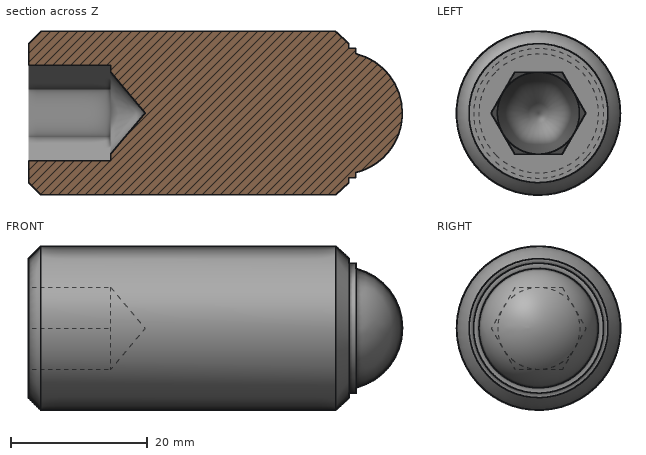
import cadquery as cq
import math

body_diameter = 24.0
body_length = 46.9
end_face_diameter = 20.32
socket_chamfer_length = (body_diameter - end_face_diameter) / 2
ball_chamfer_length = 2.0

collar_diameter = 19.0
collar_length = 1.0
collar_end = body_length + collar_length

ball_radius = 9.0
overall_length = 54.7
ball_center = overall_length - ball_radius
cap_base_radius = math.sqrt(ball_radius**2 - (collar_end - ball_center) ** 2)

hex_across_flats = 12.0
hex_across_corners = hex_across_flats / math.cos(math.radians(30))
hex_depth = 12.0
drill_point_angle = 100.0


def make_plunger():
    """Body, collar and ball cap, revolved as one half outline about X."""
    body_radius = body_diameter / 2
    end_face_radius = end_face_diameter / 2
    collar_radius = collar_diameter / 2
    cap_half_angle = math.asin(cap_base_radius / ball_radius) / 2
    cap_midpoint = (
        ball_center + ball_radius * math.cos(cap_half_angle),
        -ball_radius * math.sin(cap_half_angle),
    )
    half_outline = (
        cq.Workplane("XY")
        .lineTo(0, -end_face_radius)
        .lineTo(socket_chamfer_length, -body_radius)
        .lineTo(body_length - ball_chamfer_length, -body_radius)
        .lineTo(body_length, -end_face_radius)
        .lineTo(body_length, -collar_radius)
        .lineTo(collar_end, -collar_radius)
        .lineTo(collar_end, -cap_base_radius)
        .threePointArc(cap_midpoint, (overall_length, 0))
        .close()
    )
    return half_outline.revolve(360, (0, 0, 0), (1, 0, 0))


def make_socket():
    """Hexagon with flats facing up and down, and the drill point at its floor."""
    hexagon = cq.Workplane("YZ").polygon(6, hex_across_corners).extrude(hex_depth)
    cone_radius = hex_across_flats / 2
    cone_height = cone_radius / math.tan(math.radians(drill_point_angle / 2))
    cone_base = cq.Vector(hex_depth, 0, 0)
    cone = cq.Solid.makeCone(cone_radius, 0, cone_height, cone_base, cq.Vector(1, 0, 0))
    return hexagon.union(cq.Workplane(obj=cone))


result = make_plunger().cut(make_socket())